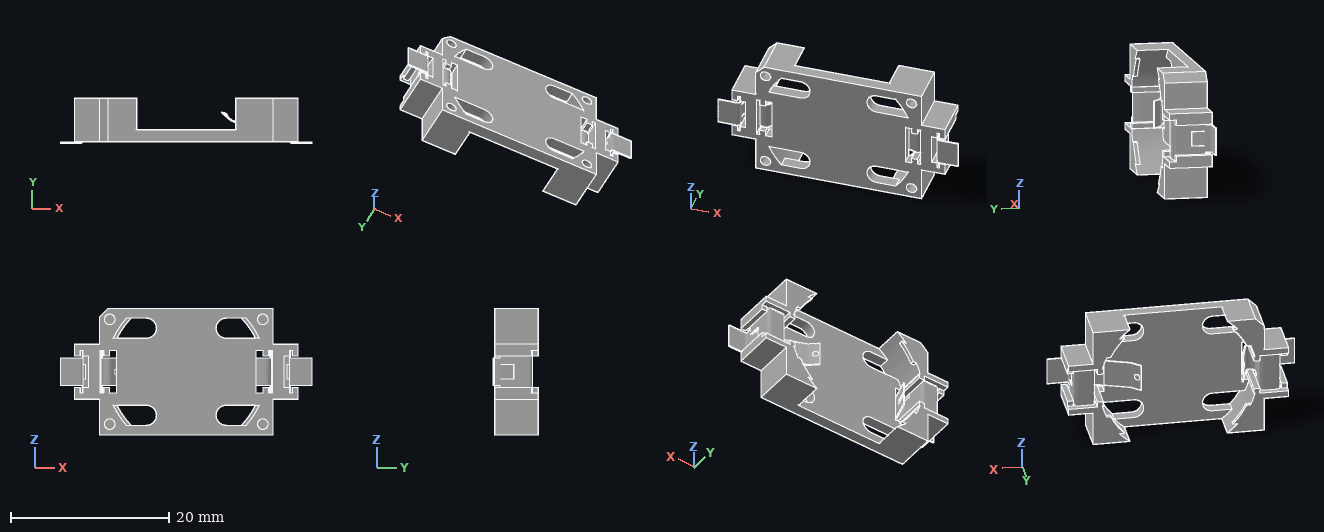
import cadquery as cq
import math


body_length = 22.0
body_height = 16.0
depth = 5.5
floor_thickness = 1.53
corner_chamfer = 1.1
ear_tip = 14.13
ear_height = 7.0

pocket_radius = 10.15
lip_radius = 9.7
lip_thickness = 0.5

slot_width = 2.5
slot_offset = 5.5
slot_inner_end = 3.8

hole_radius = 0.67
hole_depth = 1.9
hole_x = 9.68
hole_z = 6.62

sheet = 0.15
half_sheet = sheet / 2
strip_width = 3.5
saddle_width = 5.35
tab_tip = 15.9
tab_underside = -0.2
tab_bend_radius = 0.24
top_bend_radius = 0.398
spring_bend_radius = 0.7
outer_leg_x = 13.13
inner_leg_x = 10.7
outer_leg_bottom = 0.65
inner_leg_bottom = 1.9

bottom_spring_bend_y = 1.88
bottom_spring_angle = 20.0
bottom_spring_length = 4.17
tip_rise_angle = 21.0
tip_rise_radius = 0.95
tip_length = 1.37
dimple_radius = 0.55
dimple_height = 0.27
dimple_x = 4.9
dimple_y = 3.35

side_spring_bend_y = 1.25
side_spring_angle = 74.0
side_spring_length = 2.85
fork_gap = 0.5
fork_root_x = 8.98

barb_width = 1.85
barb_bottom = 0.8
barb_top = 2.35
barb_hole_top = 2.45
barb_reach = 0.32

bridge_top = 4.65
bridge_inside = 10.9
bridge_outside = outer_leg_x - half_sheet
bridge_rounding = top_bend_radius - half_sheet
seat_outside = 13.37
arm_gap_width = 3.95
barb_pocket_x = 12.35
barb_pocket_depth = 2.85
window_inside = 8.85
post_outside = 10.45
post_inside = 9.68

SIDES = (-1, 1)


def block(x0, x1, y0, y1, height, z=0.0):
    """Box between two X and two Y positions, centred on z."""
    return cq.Workplane("XY").box(abs(x1 - x0), y1 - y0, height).translate(
        ((x0 + x1) / 2, (y0 + y1) / 2, z)
    )


def disc(radius, y0, y1):
    """Cylinder along Y about the cell axis."""
    return cq.Workplane("XZ", origin=(0, y1, 0)).circle(radius).extrude(y1 - y0)


def slot_zone(side, level, y0, y1):
    """Zone of one moulding slot, round at its inner end and open outward."""
    slot_radius = slot_width / 2
    round_x = slot_inner_end + slot_radius
    z = level * slot_offset
    straight = block(side * round_x, side * pocket_radius, y0, y1, slot_width, z)
    round_end = cq.Workplane("XZ", origin=(side * round_x, y1, z)).circle(slot_radius).extrude(y1 - y0)
    return straight.union(round_end)


def add_clip_seat(housing, side):
    """Open the seat of one clip and stand in it the bridge and posts that hold the clip."""
    passage = block(side * window_inside, side * seat_outside, 0, depth, saddle_width)
    arm_gap = block(side * seat_outside, side * ear_tip, 0, depth, arm_gap_width)
    notch = block(side * seat_outside, side * ear_tip, bridge_top, depth, saddle_width)
    housing = housing.cut(passage).cut(arm_gap).cut(notch)

    bridge = block(side * bridge_inside, side * bridge_outside, 0, bridge_top, saddle_width)
    bridge = bridge.edges("|Z and >Y").fillet(bridge_rounding)
    barb_pocket = block(side * barb_pocket_x, side * bridge_outside, 0, barb_pocket_depth, arm_gap_width)
    housing = housing.union(bridge.cut(barb_pocket))

    post_width = (saddle_width - arm_gap_width) / 2
    post_z = (saddle_width + arm_gap_width) / 4
    for level in SIDES:
        post = block(side * post_inside, side * post_outside, 0, depth, post_width, level * post_z)
        housing = housing.union(post)
    return housing


def make_housing():
    half_length = body_length / 2
    body = block(-half_length, half_length, 0, depth, body_height)
    body = body.edges("|Y and <X and >Z").chamfer(corner_chamfer)
    body = body.union(block(-ear_tip, ear_tip, 0, depth, ear_height))
    body = body.cut(disc(pocket_radius, floor_thickness, depth))

    lip_bottom = depth - lip_thickness
    lip_ring = disc(pocket_radius, lip_bottom, depth).cut(disc(lip_radius, lip_bottom, depth))
    for side in SIDES:
        for level in SIDES:
            floor_slot = slot_zone(side, level, 0, floor_thickness)
            body = body.cut(floor_slot.intersect(disc(pocket_radius, 0, floor_thickness)))
            body = body.union(lip_ring.intersect(slot_zone(side, level, lip_bottom, depth)))

    for side in SIDES:
        body = add_clip_seat(body, side)

    holes = (
        cq.Workplane("XZ")
        .rect(2 * hole_x, 2 * hole_z, forConstruction=True)
        .vertices()
        .circle(hole_radius)
        .extrude(-hole_depth)
    )
    return body.cut(holes)


def sheet_strip(x, y, heading, steps, width):
    """Constant-thickness strip that follows a path in the XY plane, centred on Z = 0.

    A step is ("line", length) or ("bend", radius, turn), with turns in degrees, left positive.
    """

    def side_points(px, py, angle):
        dx = -half_sheet * math.sin(math.radians(angle))
        dy = half_sheet * math.cos(math.radians(angle))
        return (px + dx, py + dy), (px - dx, py - dy)

    start_left, start_right = side_points(x, y, heading)
    left_edges = []
    right_edges = []
    left, right = start_left, start_right
    for step in steps:
        if step[0] == "line":
            x += step[1] * math.cos(math.radians(heading))
            y += step[1] * math.sin(math.radians(heading))
            next_left, next_right = side_points(x, y, heading)
            left_edges.append(cq.Edge.makeLine(cq.Vector(*left), cq.Vector(*next_left)))
            right_edges.append(cq.Edge.makeLine(cq.Vector(*right), cq.Vector(*next_right)))
        else:
            radius, turn = step[1], step[2]
            to_centre = heading + math.copysign(90, turn)
            centre_x = x + radius * math.cos(math.radians(to_centre))
            centre_y = y + radius * math.sin(math.radians(to_centre))

            def on_bend(part):
                out = math.radians(to_centre + 180 + part * turn)
                px = centre_x + radius * math.cos(out)
                py = centre_y + radius * math.sin(out)
                return px, py

            mid_left, mid_right = side_points(*on_bend(0.5), heading + turn / 2)
            x, y = on_bend(1)
            heading += turn
            next_left, next_right = side_points(x, y, heading)
            left_edges.append(
                cq.Edge.makeThreePointArc(cq.Vector(*left), cq.Vector(*mid_left), cq.Vector(*next_left))
            )
            right_edges.append(
                cq.Edge.makeThreePointArc(cq.Vector(*right), cq.Vector(*mid_right), cq.Vector(*next_right))
            )
        left, right = next_left, next_right
    caps = [
        cq.Edge.makeLine(cq.Vector(*start_left), cq.Vector(*start_right)),
        cq.Edge.makeLine(cq.Vector(*left), cq.Vector(*right)),
    ]
    outline = cq.Wire.assembleEdges(left_edges + caps[1:] + right_edges[::-1] + caps[:1])
    strip = cq.Solid.extrudeLinear(outline, [], cq.Vector(0, 0, width))
    return cq.Workplane(strip.translate(cq.Vector(0, 0, -width / 2)))


def make_clip(spring_bend_y, spring_steps):
    """Clip for the +X end; spring_steps continue the strip from the foot of its inner leg."""
    saddle_shoulder = bridge_top + half_sheet - top_bend_radius
    over_bridge = [
        ("bend", top_bend_radius, 90),
        ("line", outer_leg_x - inner_leg_x - 2 * top_bend_radius),
        ("bend", top_bend_radius, 90),
    ]

    tab_y = tab_underside + half_sheet
    strip_steps = [
        ("line", tab_tip - outer_leg_x - tab_bend_radius),
        ("bend", tab_bend_radius, -90),
        ("line", saddle_shoulder - tab_y - tab_bend_radius),
        *over_bridge,
        ("line", saddle_shoulder - spring_bend_y),
        *spring_steps,
    ]
    strip = sheet_strip(tab_tip, tab_y, 180, strip_steps, strip_width)

    saddle_steps = [
        ("line", saddle_shoulder - outer_leg_bottom),
        *over_bridge,
        ("line", saddle_shoulder - inner_leg_bottom),
    ]
    saddle = sheet_strip(outer_leg_x, outer_leg_bottom, 90, saddle_steps, saddle_width)

    leg_inside = outer_leg_x - half_sheet
    leg_outside = outer_leg_x + half_sheet
    barb_hole = block(leg_inside, leg_outside, barb_bottom, barb_hole_top, barb_width)
    barb = (
        cq.Workplane("XY", origin=(0, 0, -barb_width / 2))
        .moveTo(leg_inside, barb_bottom)
        .lineTo(leg_outside, barb_bottom)
        .lineTo(leg_outside - barb_reach, barb_top)
        .lineTo(leg_inside - barb_reach, barb_top)
        .close()
        .extrude(barb_width)
    )
    return strip.union(saddle).cut(barb_hole).union(barb)


def make_dimple():
    """Spherical cap on the upper face near the tip of the bottom spring."""
    cap = cq.Workplane("XY").sphere(dimple_radius).translate((0, dimple_height - dimple_radius, 0))
    cap = cap.intersect(block(-dimple_radius, dimple_radius, 0, dimple_height, 2 * dimple_radius))
    tilt = -(bottom_spring_angle + tip_rise_angle)
    return cap.rotate((0, 0, 0), (0, 0, 1), tilt).translate((dimple_x, dimple_y, 0))


def make_bottom_contact_clip():
    """Clip on the +X end: a long spring with a dimple rises under the cell."""
    clip = make_clip(
        bottom_spring_bend_y,
        [
            ("bend", spring_bend_radius, -90 - bottom_spring_angle),
            ("line", bottom_spring_length),
            ("bend", tip_rise_radius, -tip_rise_angle),
            ("line", tip_length),
        ],
    )
    return clip.union(make_dimple())


def make_side_contact_clip():
    """Clip on the -X end: a short steep forked spring presses on the cell edge."""
    clip = make_clip(
        side_spring_bend_y,
        [
            ("bend", spring_bend_radius, -90 - side_spring_angle),
            ("line", side_spring_length),
        ],
    )
    fork = block(0, fork_root_x, 0, depth, fork_gap)
    return clip.cut(fork).mirror("YZ")


housing = make_housing()
bottom_contact_clip = make_bottom_contact_clip()
side_contact_clip = make_side_contact_clip()

result = cq.Compound.makeCompound(
    [housing.val(), bottom_contact_clip.val(), side_contact_clip.val()]
)